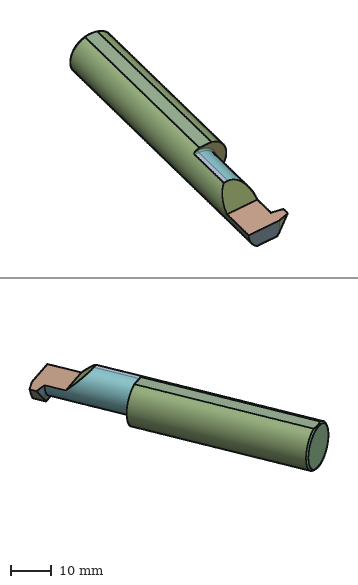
import cadquery as cq
import math

length = 76.2
shank_radius = 6.3
shank_length = 48.9
end_chamfer = 0.45
flat_depth = 0.27

neck_radius = 5.2
neck_center_y = -2.4
neck_back_y = neck_center_y + neck_radius
shoulder_fillet = 0.45

face_length = 9.2
face_start = length - face_length
tooth_base_start = 72.7
tooth_tip_start = 73.4
tooth_tip_end = 75.3
tooth_tip_y = 6.1
tooth_relief_angle = 38.0
tooth_root_y = neck_center_y
bottom_edge_chamfer = 0.19


def make_shank():
    """Round bar with a chamfered end and a narrow flat along its top."""
    bar = cq.Workplane("YZ").circle(shank_radius).extrude(shank_length)
    bar = bar.faces("<X").chamfer(end_chamfer)
    flat_cutter = (
        cq.Workplane("XY")
        .workplane(offset=shank_radius - flat_depth)
        .rect(2 * length, 2 * shank_radius)
        .extrude(shank_radius)
    )
    return bar.cut(flat_cutter)


def make_neck():
    """Shank section trimmed to a rounded back with flats above and below."""
    neck_length = length - shank_length
    section = (
        cq.Workplane("YZ", origin=(shank_length, 0, 0))
        .moveTo(-shank_radius, -neck_radius)
        .lineTo(neck_center_y, -neck_radius)
        .threePointArc((neck_back_y, 0), (neck_center_y, neck_radius))
        .lineTo(-shank_radius, neck_radius)
        .close()
        .extrude(neck_length)
    )
    round_bar = (
        cq.Workplane("YZ", origin=(shank_length, 0, 0)).circle(shank_radius).extrude(neck_length)
    )
    return section.intersect(round_bar)


def draw_fillet_profile():
    """Side outline of the shoulder fillet, reaching down to the neck's axis."""
    arc_offset = shoulder_fillet * (1 - math.sqrt(0.5))
    return (
        cq.Workplane("XZ", origin=(0, neck_center_y, 0))
        .moveTo(shank_length, 0)
        .lineTo(shank_length, neck_radius + shoulder_fillet)
        .threePointArc(
            (shank_length + arc_offset, neck_radius + arc_offset),
            (shank_length + shoulder_fillet, neck_radius),
        )
        .lineTo(shank_length + shoulder_fillet, 0)
        .close()
    )


def make_shoulder_fillet():
    """Concave fillet between the shoulder and the upper half of the neck, trimmed to the shank."""
    over_flat = draw_fillet_profile().extrude(shank_radius)
    around_back = draw_fillet_profile().revolve(90, (0, 0, 0), (-1, 0, 0))
    trim = (
        cq.Workplane("YZ", origin=(shank_length, 0, 0)).circle(shank_radius).extrude(shoulder_fillet)
    )
    return over_flat.union(around_back).intersect(trim)


def make_face_cutter():
    """Remove the upper half of the head, with a 45 degree run-out toward the neck."""
    cut_height = 2 * shank_radius
    return (
        cq.Workplane("XZ")
        .moveTo(face_start, 0)
        .lineTo(length, 0)
        .lineTo(length, cut_height)
        .lineTo(face_start - cut_height, cut_height)
        .close()
        .extrude(shank_radius, both=True)
    )


def make_tooth():
    """Tapered cutting tooth whose tip slopes back below the cutting face."""
    relief_run = neck_radius * math.tan(math.radians(tooth_relief_angle))
    profile = (
        cq.Workplane("XY")
        .moveTo(tooth_base_start, tooth_root_y)
        .lineTo(tooth_base_start, neck_back_y)
        .lineTo(tooth_tip_start, tooth_tip_y)
        .lineTo(tooth_tip_end, tooth_tip_y)
        .lineTo(length, neck_back_y)
        .lineTo(length, tooth_root_y)
        .close()
        .extrude(-neck_radius)
    )
    relieved_section = (
        cq.Workplane("YZ", origin=(tooth_base_start, 0, 0))
        .moveTo(tooth_root_y, 0)
        .lineTo(tooth_tip_y, 0)
        .lineTo(tooth_tip_y - relief_run, -neck_radius)
        .lineTo(tooth_root_y, -neck_radius)
        .close()
        .extrude(length - tooth_base_start)
    )
    return profile.intersect(relieved_section)


body = make_shank().union(make_neck()).union(make_shoulder_fillet())
body = body.cut(make_face_cutter()).union(make_tooth())
result = body.faces(">X").edges("<Z").chamfer(bottom_edge_chamfer)